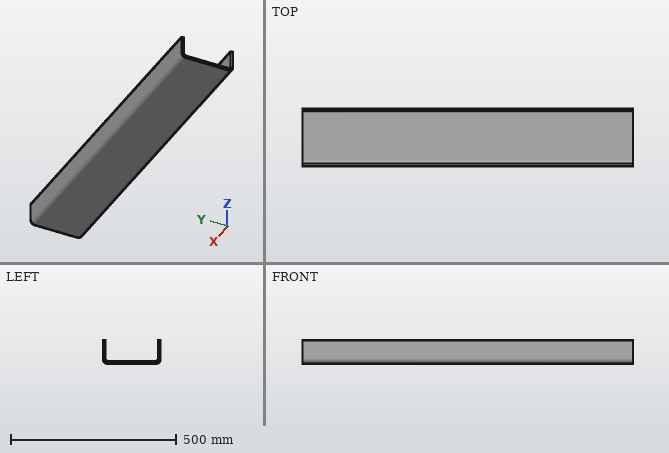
import cadquery as cq

length = 1000.0
width = 175.0
height = 72.0
thickness = 8.0
inner_bend_radius = 8.0
outer_bend_radius = inner_bend_radius + thickness

outer_bar = (
    cq.Workplane("XY")
    .box(length, width, height, centered=(True, True, False))
    .edges("|X and <Z")
    .fillet(outer_bend_radius)
)

trough = (
    cq.Workplane("XY")
    .workplane(offset=thickness)
    .box(length, width - 2 * thickness, height - thickness, centered=(True, True, False))
    .edges("|X and <Z")
    .fillet(inner_bend_radius)
)

result = outer_bar.cut(trough)